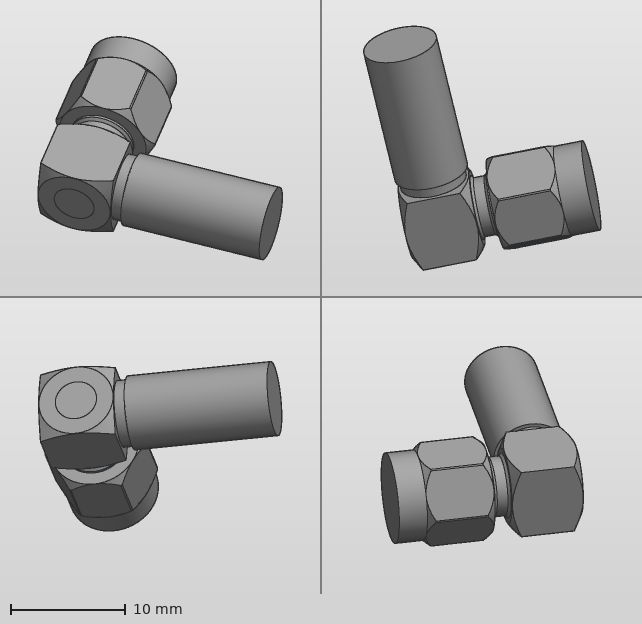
import cadquery as cq
import math

overall_length = 21.55

block_width = 6.65
block_length = 6.33
block_chamfer_angle = 30.0
face_circle_radius = 3.3

cap_radius = 1.83
cap_depth = 0.43

neck_radius = 2.63
neck_flare = 0.24
neck_length = 1.65
rim_radius = 2.86
rim_length = 0.24

collar_radius = 2.93
collar_length = 0.97
barrel_radius = 3.25

nut_sides = 6
nut_flats = 7.95
nut_corner_radius = 4.55
nut_hex_length = 6.0
nut_sleeve_length = 2.5
nut_neck_side_chamfer = 0.71
nut_sleeve_side_chamfer = 0.65

block_end = block_length / 2
neck_end = block_end + neck_length
hex_end = neck_end + nut_hex_length
collar_start = block_width / 2
barrel_start = collar_start + collar_length
barrel_length = overall_length - nut_corner_radius - barrel_start


def revolve_about_y(points):
    """Revolve a closed (radius, y) outline about the Y axis."""
    return cq.Workplane("XY").polyline(points).close().revolve(360, (0, 0), (0, 1))


def cylinder_along_x(radius, start, length):
    """Cylinder on the X axis, from x = start to x = start + length."""
    return cq.Workplane("YZ").workplane(offset=start).circle(radius).extrude(length)


def make_block():
    """Square block whose corners are cut by a cone at each Y end."""
    corner_radius = block_width / math.sqrt(2)
    cut = (corner_radius - face_circle_radius) * math.tan(math.radians(block_chamfer_angle))
    cones = revolve_about_y([
        (0, -block_end),
        (face_circle_radius, -block_end),
        (corner_radius, cut - block_end),
        (corner_radius, block_end - cut),
        (face_circle_radius, block_end),
        (0, block_end),
    ])
    return cq.Workplane("XY").box(block_width, block_length, block_width).intersect(cones)


def make_neck():
    """Round neck that flares into the block and ends in a chamfered rim under the nut."""
    rim_chamfer = rim_radius - neck_radius
    return revolve_about_y([
        (0, 0),
        (neck_radius + neck_flare, 0),
        (neck_radius + neck_flare, block_end),
        (neck_radius, block_end + neck_flare),
        (neck_radius, neck_end - rim_length - rim_chamfer),
        (rim_radius, neck_end - rim_length),
        (rim_radius, neck_end),
        (0, neck_end),
    ])


def make_cap():
    """Round plug that fills the recess in the -Y face of the block."""
    return revolve_about_y([
        (0, -block_end),
        (cap_radius, -block_end),
        (cap_radius, cap_depth - block_end),
        (0, cap_depth - block_end),
    ])


def make_elbow(cap):
    """Block, neck, collar and cable barrel in one piece, with a recess that fits the cap."""
    collar = cylinder_along_x(collar_radius, 0, barrel_start)
    barrel = cylinder_along_x(barrel_radius, barrel_start, barrel_length)
    return make_block().union(make_neck()).union(collar).union(barrel).cut(cap)


def make_nut():
    """Hexagon with trimmed corners, coned at both ends, and a round sleeve at its +Y end."""
    flat_radius = nut_flats / 2
    hexagon = (
        cq.Workplane("XZ", origin=(0, neck_end, 0))
        .transformed(rotate=(0, 0, 180 / nut_sides))
        .polygon(nut_sides, nut_flats, circumscribed=True)
        .extrude(-nut_hex_length)
    )
    cones = revolve_about_y([
        (0, neck_end),
        (flat_radius, neck_end),
        (nut_corner_radius, neck_end + nut_neck_side_chamfer),
        (nut_corner_radius, hex_end - nut_sleeve_side_chamfer),
        (flat_radius, hex_end),
        (0, hex_end),
    ])
    sleeve = (
        cq.Workplane("XZ", origin=(0, hex_end, 0))
        .circle(flat_radius)
        .extrude(-nut_sleeve_length)
    )
    return hexagon.intersect(cones).union(sleeve)


cap = make_cap()
elbow = make_elbow(cap)
nut = make_nut()

result = cq.Compound.makeCompound([elbow.val(), cap.val(), nut.val()])